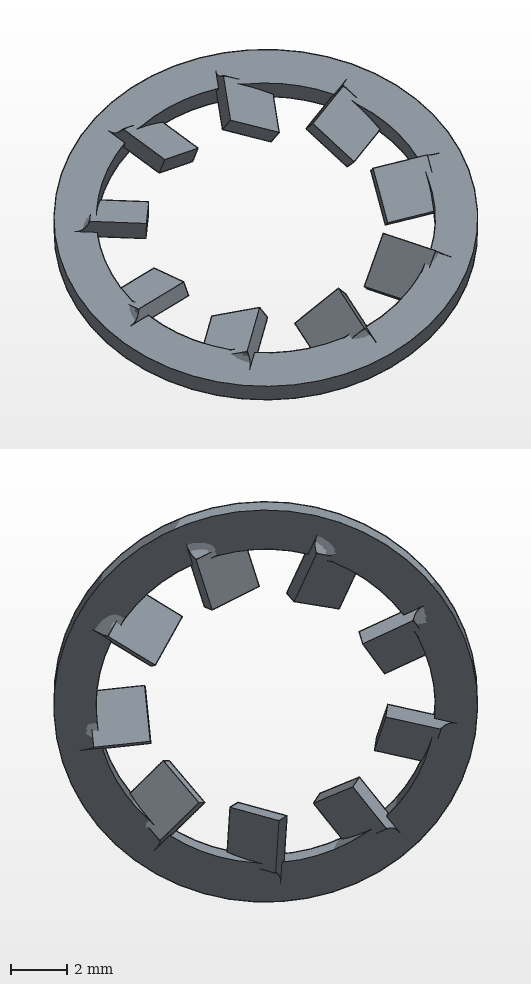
import cadquery as cq
import math

outer_radius = 7.5
inner_radius = 6
ring_thickness = 0.8

tooth_count = 9
tooth_twist = 30
tooth_width = 2.01
tooth_thickness = 0.58
tooth_inner_end = 4.2
tooth_outer_end = 6.21
fillet_radius = 0.51
fillet_steps = 6
fillet_overlap = 0.08

ring_top = ring_thickness / 2
twist = math.radians(tooth_twist)
tooth_top = (tooth_width * math.sin(twist) + tooth_thickness * math.cos(twist)) / 2
crossing_x = (tooth_thickness / 2 / math.cos(twist) - ring_top) / math.tan(twist)


def make_ring():
    ring = cq.Workplane("XY").circle(outer_radius).circle(inner_radius).extrude(ring_thickness)
    return ring.translate((0, 0, -ring_top))


def make_blade():
    """Twisted blade with its length along +Y."""
    length = tooth_outer_end - tooth_inner_end
    blade = cq.Workplane("XY").box(tooth_width, length, tooth_thickness)
    blade = blade.translate((0, tooth_inner_end + length / 2, 0))
    return blade.rotate((0, 0, 0), (0, 1, 0), tooth_twist)


def make_fillet_section(angle):
    """Section of the blend where the rolling ball has turned by the angle around the outer edge.

    The ball rests on the ring at its foot and touches the sloping edge at its contact point.
    """
    ellipse_x = crossing_x - fillet_radius / math.tan(twist)
    foot = cq.Vector(
        ellipse_x + fillet_radius / math.sin(twist) * math.cos(angle),
        tooth_outer_end + fillet_radius * math.sin(angle),
        ring_top,
    )
    centre = foot + cq.Vector(0, 0, fillet_radius)
    crossing = cq.Vector(crossing_x, tooth_outer_end, ring_top)
    edge_direction = cq.Vector(-math.cos(twist), 0, math.sin(twist))
    contact = crossing + edge_direction * (centre - crossing).dot(edge_direction)
    inward = cq.Vector(contact.x - foot.x, contact.y - foot.y, 0).normalized()
    base = cq.Vector(contact.x, contact.y, ring_top) + inward * fillet_overlap

    arc_height = min(contact.z, tooth_top) - ring_top
    arc_reach = math.sqrt(fillet_radius**2 - (fillet_radius - arc_height) ** 2)
    arc_end = foot + inward * arc_reach + cq.Vector(0, 0, arc_height)
    to_arc_middle = (arc_end + foot) * 0.5 - centre
    arc_middle = centre + to_arc_middle.normalized() * fillet_radius
    return cq.Wire.assembleEdges([
        cq.Edge.makeLine(base, foot),
        cq.Edge.makeThreePointArc(foot, arc_middle, arc_end),
        cq.Edge.makeLine(arc_end, base),
    ])


def make_upper_fillet_pieces():
    """Concave blend from the ring's top to the blade's upper face and its outer upper edge.

    It is shaped by a ball rolling on the ring. Beside the blade the ball's centre moves
    straight; around the outer edge it keeps one fillet radius from that sloping edge, so
    its centre follows a quarter ellipse.
    """
    quarter_turn = math.pi / 2
    sections = [
        make_fillet_section(quarter_turn * step / fillet_steps)
        for step in range(fillet_steps + 1)
    ]
    end_blend = cq.Workplane(cq.Solid.makeLoft(sections, True))
    strip_run = cq.Vector(0, tooth_inner_end - tooth_outer_end, 0)
    side_blend = cq.Workplane(cq.Solid.extrudeLinear(sections[0], [], strip_run))

    side_limit = (
        cq.Workplane("XY")
        .box(tooth_width, 2 * outer_radius, outer_radius)
        .rotate((0, 0, 0), (0, 1, 0), tooth_twist)
    )
    bore = cq.Workplane("XY").circle(inner_radius).extrude(ring_thickness)
    return [end_blend.intersect(side_limit), side_blend.cut(bore)]


def make_tooth_pieces():
    """Blade with the same blend above and below, half a turn apart about its centre line."""
    upper_pieces = make_upper_fillet_pieces()
    lower_pieces = [piece.rotate((0, 0, 0), (0, 1, 0), 180) for piece in upper_pieces]
    return [make_blade()] + upper_pieces + lower_pieces


result = make_ring()
tooth_pieces = make_tooth_pieces()
for index in range(tooth_count):
    angle = index * 360 / tooth_count
    for piece in tooth_pieces:
        result = result.union(piece.rotate((0, 0, 0), (0, 0, 1), angle), clean=False)